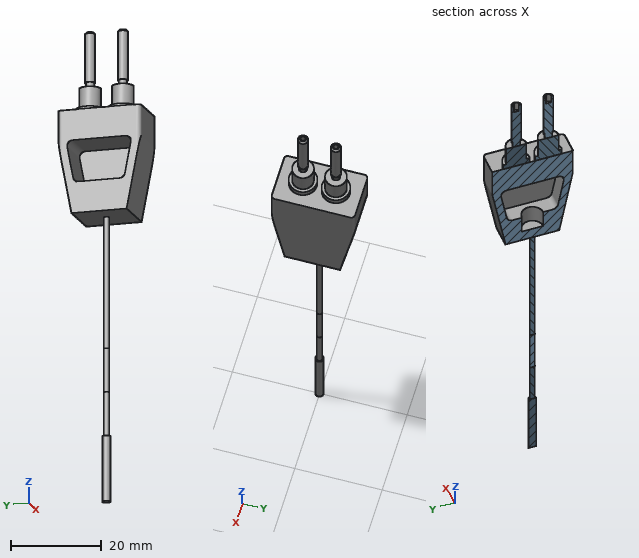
import cadquery as cq

LOWER_WIRE_BOTTOM = 15.0
MIDDLE_WIRE_BOTTOM = 25.0
UPPER_WIRE_BOTTOM = 35.0
HOUSING_BOTTOM = 65.0
HOUSING_TOP = 88.7
OVERALL_HEIGHT = 107.7

HOUSING_DEPTH = 11.4
HOUSING_WIDTH = 19.1
HOUSING_FOOT_WIDTH = 12.7
TAPER_HEIGHT = 16.7
CORNER_RADIUS = 0.9

POCKET_HEIGHT = 9.6
POCKET_SIDE_WALL = 1.9
POCKET_BACK_WALL = 1.9
POCKET_CORNER_RADIUS = 1.3

BORE_DIAMETER = 5.0
BORE_DEPTH = 4.3

CONTACT_SPACING = 7.5
FLANGE_DIAMETER = 6.4
FLANGE_HEIGHT = 1.3
BUSHING_DIAMETER = 4.8
BUSHING_HEIGHT = 6.0
NECK_DIAMETER = 1.8
NECK_HEIGHT = 1.4
PIN_DIAMETER = 2.3
PIN_CHAMFER = 0.4
TIP_HOLE_DIAMETER = 1.1
TIP_HOLE_DEPTH = 2.2

WIRE_DIAMETER = 1.3
SLEEVE_DIAMETER = 1.8

TAPER_TOP = HOUSING_BOTTOM + TAPER_HEIGHT
TAPER_SLOPE = (HOUSING_WIDTH - HOUSING_FOOT_WIDTH) / 2 / TAPER_HEIGHT
POCKET_FLOOR = TAPER_TOP - POCKET_HEIGHT
BUSHING_TOP = HOUSING_TOP + BUSHING_HEIGHT


def cylinder(diameter, bottom, top, y=0.0):
    """Vertical cylinder between two heights."""
    return cq.Workplane("XY", origin=(0, y, bottom)).circle(diameter / 2).extrude(top - bottom)


def tapered_half_width(z):
    """Half width of the housing at height z within the taper."""
    return HOUSING_FOOT_WIDTH / 2 + TAPER_SLOPE * (z - HOUSING_BOTTOM)


def housing_block():
    """Block with rounded upright edges, trimmed to the tapered outline."""
    height = HOUSING_TOP - HOUSING_BOTTOM
    block = (
        cq.Workplane("XY", origin=(0, 0, HOUSING_BOTTOM))
        .rect(HOUSING_DEPTH, HOUSING_WIDTH)
        .extrude(height)
        .edges("|Z")
        .fillet(CORNER_RADIUS)
    )
    half_foot = HOUSING_FOOT_WIDTH / 2
    half_width = HOUSING_WIDTH / 2
    outline = (
        cq.Workplane("YZ")
        .polyline([
            (-half_foot, HOUSING_BOTTOM),
            (half_foot, HOUSING_BOTTOM),
            (half_width, TAPER_TOP),
            (half_width, HOUSING_TOP),
            (-half_width, HOUSING_TOP),
            (-half_width, TAPER_TOP),
        ])
        .close()
        .extrude(HOUSING_DEPTH / 2, both=True)
    )
    return block.intersect(outline)


def window_pocket():
    """Tapered pocket volume, open at the -X face and closed at the back."""
    half_top = tapered_half_width(TAPER_TOP) - POCKET_SIDE_WALL
    half_floor = tapered_half_width(POCKET_FLOOR) - POCKET_SIDE_WALL
    return (
        cq.Workplane("YZ", origin=(-HOUSING_DEPTH / 2, 0, 0))
        .polyline([
            (-half_floor, POCKET_FLOOR),
            (half_floor, POCKET_FLOOR),
            (half_top, TAPER_TOP),
            (-half_top, TAPER_TOP),
        ])
        .close()
        .extrude(HOUSING_DEPTH - POCKET_BACK_WALL)
        .edges("|X")
        .fillet(POCKET_CORNER_RADIUS)
    )


def make_housing():
    bore = cylinder(BORE_DIAMETER, POCKET_FLOOR - BORE_DEPTH, POCKET_FLOOR)
    return housing_block().cut(window_pocket()).cut(bore)


def make_bushing(y):
    """Flanged bushing standing on the housing top."""
    flange = cylinder(FLANGE_DIAMETER, HOUSING_TOP, HOUSING_TOP + FLANGE_HEIGHT, y)
    barrel = cylinder(BUSHING_DIAMETER, HOUSING_TOP, BUSHING_TOP, y)
    return flange.union(barrel)


def make_pin(y):
    """Plug pin with a thin neck at its foot and a chamfered, drilled tip."""
    shank_bottom = BUSHING_TOP + NECK_HEIGHT
    shank = cylinder(PIN_DIAMETER, shank_bottom, OVERALL_HEIGHT, y).faces(">Z").chamfer(PIN_CHAMFER)
    neck = cylinder(NECK_DIAMETER, BUSHING_TOP, shank_bottom, y)
    tip_hole = cylinder(TIP_HOLE_DIAMETER, OVERALL_HEIGHT - TIP_HOLE_DEPTH, OVERALL_HEIGHT, y)
    return shank.union(neck).cut(tip_hole)


def make_wire_section(bottom, top):
    return cylinder(WIRE_DIAMETER, bottom, top)


def make_end_sleeve():
    return cylinder(SLEEVE_DIAMETER, 0, LOWER_WIRE_BOTTOM)


housing = make_housing()

bushings = []
pins = []
for contact_y in (-CONTACT_SPACING / 2, CONTACT_SPACING / 2):
    bushings.append(make_bushing(contact_y).val())
    pins.append(make_pin(contact_y).val())

wire_joints = [LOWER_WIRE_BOTTOM, MIDDLE_WIRE_BOTTOM, UPPER_WIRE_BOTTOM, HOUSING_BOTTOM]
wire_sections = []
for section_bottom, section_top in zip(wire_joints, wire_joints[1:]):
    wire_sections.append(make_wire_section(section_bottom, section_top).val())

end_sleeve = make_end_sleeve()

result = cq.Compound.makeCompound([
    housing.val(),
    *bushings,
    *pins,
    *wire_sections,
    end_sleeve.val(),
])